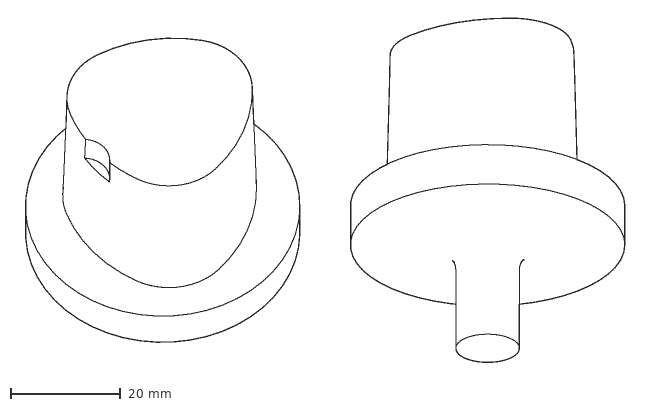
import cadquery as cq
import math

flange_diameter = 50.0
flange_thickness = 8.0
shank_diameter = 11.6
shank_length = 21.0
shank_fillet_radius = 5.0

polygon_mean_diameter = 35.0
polygon_eccentricity = 1.12
polygon_height = 30.0
taper_ratio = 1 / 20
lobe_count = 3
lobe_center_distance = 6.6

lobe_reach = polygon_mean_diameter / 2 + polygon_eccentricity
side_reach = polygon_mean_diameter / 2 - polygon_eccentricity
lobe_radius = lobe_reach - lobe_center_distance
half_pitch = math.pi / lobe_count
radius_gap = side_reach - lobe_radius
side_center_distance = (lobe_center_distance**2 - radius_gap**2) / (
    2 * radius_gap - 2 * lobe_center_distance * math.cos(half_pitch)
)
side_radius = side_reach + side_center_distance
seam_angle = math.asin(lobe_center_distance * math.sin(half_pitch) / (side_radius - lobe_radius))

notch_radius = 4.8
notch_depth = 5.7
notch_reach = 1.65


def polar(distance, angle):
    """Point at a distance from the axis; angle is counterclockwise from +Y."""
    return -distance * math.sin(angle), distance * math.cos(angle)


def seam_point(side_angle, offset_angle):
    """Point on the side arc, turned by offset_angle about the arc center."""
    center_x, center_y = polar(-side_center_distance, side_angle)
    arm_x, arm_y = polar(side_radius, side_angle + offset_angle)
    return center_x + arm_x, center_y + arm_y


def make_polygon():
    outline = cq.Workplane("XY").moveTo(*seam_point(-half_pitch, seam_angle))
    for lobe in range(lobe_count):
        lobe_angle = 2 * lobe * half_pitch
        side_angle = lobe_angle + half_pitch
        outline = outline.threePointArc(
            polar(lobe_reach, lobe_angle), seam_point(side_angle, -seam_angle)
        )
        outline = outline.threePointArc(
            polar(side_reach, side_angle), seam_point(side_angle, seam_angle)
        )
    taper_angle = math.degrees(math.atan(taper_ratio / 2))
    return outline.close().extrude(polygon_height, taper=taper_angle)


def make_flange_and_shank():
    flange = cq.Workplane("XY").circle(flange_diameter / 2).extrude(-flange_thickness)
    shank = (
        cq.Workplane("XY")
        .workplane(offset=-flange_thickness)
        .circle(shank_diameter / 2)
        .extrude(-shank_length)
    )
    shank_rims = cq.selectors.RadiusNthSelector(0)
    return flange.union(shank).edges("%CIRCLE").edges(shank_rims).edges(">Z").fillet(shank_fillet_radius)


def cut_notch(body):
    top_side_reach = side_reach - polygon_height * taper_ratio / 2
    notch_center_y = -(top_side_reach - notch_reach) - notch_radius
    notch = (
        cq.Workplane("XY")
        .workplane(offset=polygon_height)
        .center(0, notch_center_y)
        .circle(notch_radius)
        .extrude(-notch_depth)
    )
    return body.cut(notch)


result = cut_notch(make_flange_and_shank().union(make_polygon()))